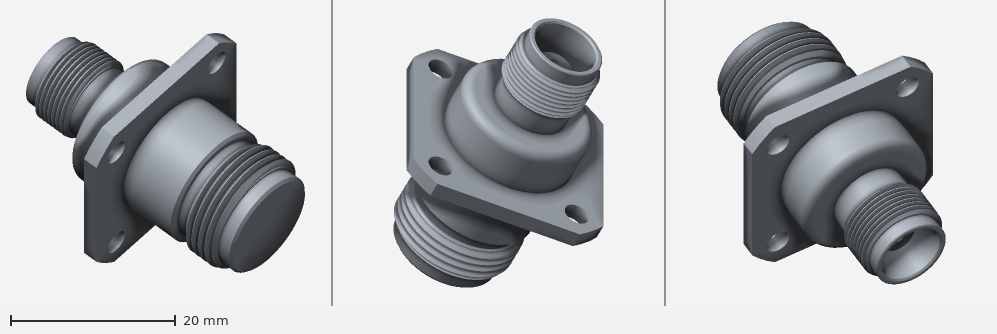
import cadquery as cq
import math

LENGTH = 35.4

FLANGE_SIDE = 25.4
FLANGE_START = 16.65
FLANGE_END = 18.7
FLANGE_CORNER_RADIUS = 15.85
HOLE_DIAMETER = 3.2
HOLE_SPACING = 18.2

HOUSING_START = 10.45
HOUSING_RADIUS = 8.7
HOUSING_ROUND = 1.27

BODY_END = 26.85
BODY_RADIUS = 7.93
BODY_CHAMFER = 0.35

SMALL_NECK_RADIUS = 4.85
SMALL_TIP_CHAMFER = 0.15
SMALL_THREAD_START = 1.85
SMALL_THREAD_END = 7.22
SMALL_CREST_RADIUS = 5.6
SMALL_ROOT_RADIUS = 5.1
SMALL_TURNS = 6
SMALL_TURNS_SPAN = 4.0
SMALL_PITCH = SMALL_TURNS_SPAN / SMALL_TURNS
SMALL_CREST_AT_TOP = 2.75

LARGE_NECK_RADIUS = 6.87
LARGE_TIP_CHAMFER = 0.35
LARGE_THREAD_START = 28.3
LARGE_THREAD_END = 33.35
LARGE_CREST_RADIUS = 7.93
LARGE_ROOT_RADIUS = 7.2
LARGE_PITCH = 1.05
LARGE_CREST_AT_TOP = 29.65

CREST_FLAT = 0.1
ROOT_FLAT = 0.05
RIDGE_EMBED = 0.07
ENVELOPE_MARGIN = 0.018

SOCKET_RADIUS = 4.07
SOCKET_MOUTH_CHAMFER = 0.2
SOCKET_DEPTH = 7.08
INSULATOR_RADIUS = 2.3
INSULATOR_FACE = 3.33

RECESS_RADIUS = 0.92
RECESS_DEPTH = 0.18
CONTACT_RADIUS = 0.7
CONTACT_MOUTH_CHAMFER = 0.1
CONTACT_DEPTH = 2.12

BEVEL_ANGLE = 45.0


def axial_cylinder(start, end, radius):
    """Cylinder on the connector axis."""
    return cq.Workplane("YZ", origin=(start, 0, 0)).circle(radius).extrude(end - start)


def make_flange():
    """Square plate with its corners rounded about the axis and a hole near each."""
    flange = (
        cq.Workplane("YZ", origin=(FLANGE_START, 0, 0))
        .rect(FLANGE_SIDE, FLANGE_SIDE)
        .extrude(FLANGE_END - FLANGE_START)
        .intersect(axial_cylinder(FLANGE_START, FLANGE_END, FLANGE_CORNER_RADIUS))
    )
    holes = (
        cq.Workplane("YZ", origin=(FLANGE_START, 0, 0))
        .rect(HOLE_SPACING, HOLE_SPACING, forConstruction=True)
        .vertices()
        .circle(HOLE_DIAMETER / 2)
        .extrude(FLANGE_END - FLANGE_START)
    )
    return flange.cut(holes)


def make_thread(start, end, crest_radius, root_radius, pitch, crest_at_top):
    """Plain core with a right-handed ridge wound round it, bevelled at both ends.

    crest_at_top is an X position where the crest passes the +Z side.
    """
    core = axial_cylinder(start, end, root_radius)
    envelope = (
        axial_cylinder(start, end, crest_radius + ENVELOPE_MARGIN)
        .faces("<X or >X")
        .chamfer(crest_radius - root_radius)
    )

    turns_ahead = math.ceil((crest_at_top - start) / pitch) + 1
    ridge_start = crest_at_top - turns_ahead * pitch
    turns = math.ceil((end - ridge_start) / pitch) + 1
    inner_radius = root_radius - RIDGE_EMBED
    half_base = (pitch - ROOT_FLAT) / 2
    half_crest = CREST_FLAT / 2
    ridge = (
        cq.Workplane("XZ")
        .moveTo(inner_radius, -half_base)
        .lineTo(crest_radius, -half_crest)
        .lineTo(crest_radius, half_crest)
        .lineTo(inner_radius, half_base)
        .close()
        .sweep(cq.Workplane(cq.Wire.makeHelix(pitch, turns * pitch, inner_radius)), isFrenet=True)
    )
    ridge = (
        ridge.rotate((0, 0, 0), (0, 1, 0), 90)
        .rotate((0, 0, 0), (1, 0, 0), 180)
        .translate((ridge_start, 0, 0))
    )
    return core.union(ridge.intersect(envelope))


def make_body():
    """Flange, housing, rear body and both plain necks."""
    housing = (
        axial_cylinder(HOUSING_START, FLANGE_START, HOUSING_RADIUS)
        .faces("<X")
        .edges()
        .fillet(HOUSING_ROUND)
    )
    rear = axial_cylinder(FLANGE_END, BODY_END, BODY_RADIUS).faces(">X").chamfer(BODY_CHAMFER)
    small_neck = axial_cylinder(0, HOUSING_START, SMALL_NECK_RADIUS).faces("<X").chamfer(SMALL_TIP_CHAMFER)
    large_neck = axial_cylinder(BODY_END, LENGTH, LARGE_NECK_RADIUS).faces(">X").chamfer(LARGE_TIP_CHAMFER)
    return make_flange().union(housing).union(rear).union(small_neck).union(large_neck)


def bore_with_bevelled_mouth(start, depth, radius, chamfer):
    """Cutter for a blind bore entered from the -X side at X = start."""
    bore = axial_cylinder(start, start + depth, radius)
    mouth = (
        cq.Workplane("YZ", origin=(start, 0, 0))
        .circle(radius + chamfer)
        .extrude(chamfer, taper=BEVEL_ANGLE)
    )
    return bore.union(mouth)


def make_socket():
    """Cutter for the small end's bore that leaves the insulator standing in it."""
    socket = bore_with_bevelled_mouth(0, SOCKET_DEPTH, SOCKET_RADIUS, SOCKET_MOUTH_CHAMFER)
    insulator = axial_cylinder(INSULATOR_FACE, SOCKET_DEPTH, INSULATOR_RADIUS)
    contact_face = INSULATOR_FACE + RECESS_DEPTH
    recess = axial_cylinder(INSULATOR_FACE, contact_face, RECESS_RADIUS)
    contact = bore_with_bevelled_mouth(
        contact_face,
        CONTACT_DEPTH,
        CONTACT_RADIUS,
        CONTACT_MOUTH_CHAMFER,
    )
    return socket.cut(insulator).union(recess).union(contact)


small_thread = make_thread(
    SMALL_THREAD_START,
    SMALL_THREAD_END,
    SMALL_CREST_RADIUS,
    SMALL_ROOT_RADIUS,
    SMALL_PITCH,
    SMALL_CREST_AT_TOP,
)
large_thread = make_thread(
    LARGE_THREAD_START,
    LARGE_THREAD_END,
    LARGE_CREST_RADIUS,
    LARGE_ROOT_RADIUS,
    LARGE_PITCH,
    LARGE_CREST_AT_TOP,
)
result = make_body().union(small_thread).union(large_thread).cut(make_socket())